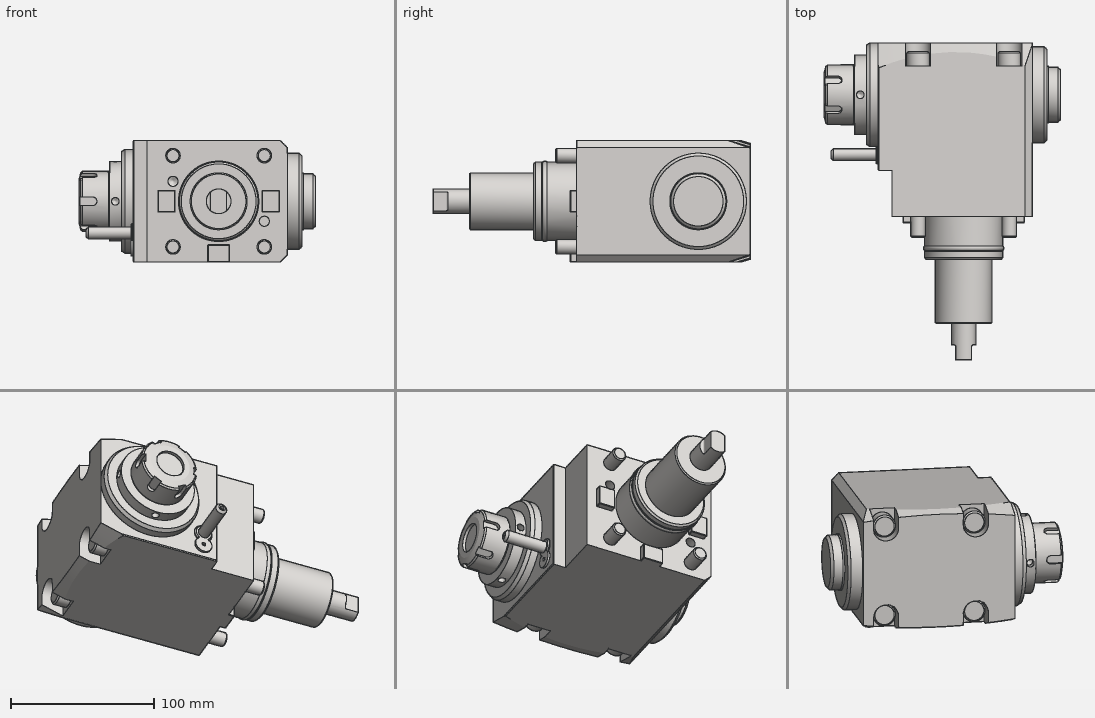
import cadquery as cq
import math

EPS = 1.0

back_y = 121.4
block_left = -59.8
block_right = 48.0
step_left = -50.0
step_y = 32.1
half_height = 42.5
corner_chamfer = 5.0
left_edge_chamfer = 0.7
crown_slope = 0.3
crown_radius = 432.0
crown_reach = 26.5
crown_height = 40.5

spindle_y = 85.0
flange_left = -68.0
flange_radius = back_y - spindle_y
flange_chamfer_length = 2.7
flange_chamfer_depth = 1.5
collar_left = -76.2
collar_radius = 28.0
collar_hole_x = -72.2
collar_hole_radius = 2.7
collar_hole_depth = 5.5
collar_hole_count = 4
neck_radius = 20.0
rear_disk_right = 58.3
rear_disk_radius = 33.7
rear_ring_right = 59.4
rear_ring_radius = 20.0
rear_boss_right = 67.8
rear_boss_radius = 19.3
rear_chamfer = 2.0

nut_left = -97.7
nut_right = -77.0
nut_radius = 21.0
nut_face_radius = 14.8
nut_cone_length = 1.3
nut_edge_chamfer = 1.0
nut_bore_radius = 10.5
nut_bore_depth = 2.2
nut_slot_count = 6
nut_slot_width = 6.0
nut_slot_depth = 2.7
nut_slot_length = 12.6

pilot_radius = 27.5
pilot_length = 30.1
pilot_chamfer = 1.3
oring_start = 20.5
oring_width = 3.0
oring_rise = 0.7
groove_width = 0.7
shank_radius = 20.0
shank_end = 74.9
shank_chamfer = 0.9
drive_radius = 8.6
drive_end = 100.1
flat_start = 89.7
flat_half_width = 5.5
flat_root_fillet = 1.3

screw_pitch = 32.0
screw_radius = 5.0
screw_length = 14.6
screw_chamfer = 0.9
head_radius = 8.0
head_height = 10.0
head_chamfer = 1.0
pocket_radius = 8.9
pocket_depth = 16.2

key_inner = 30.3
key_width = 15.3
key_height = 4.5
key_chamfer = 0.5
hole_x = 32.0
hole_z = 14.0
hole_radius = 3.5
hole_depth = 8.9
drill_half_angle = math.radians(59)

pin_y = 43.2
pin_z = -22.2
pin_left = -92.8
pin_radius = 4.2
pin_chamfer = 1.8
pin_bore_radius = 1.3
pin_bore_depth = 3.3
pin_base_radius = 6.6
pin_base_chamfer = 0.9
base_height = 1.5
plug_z = -32.1
plug_radius = 6.2
plug_hole_radius = 1.3


def x_axis_disk(radius, x_start, x_end, y=spindle_y, z=0.0):
    """Cylinder along X between two X positions."""
    return cq.Workplane("YZ", origin=(x_start, y, z)).circle(radius).extrude(x_end - x_start)


def y_axis_disk(radius, y_start, y_end, x=0.0, z=0.0):
    """Cylinder along Y between two Y positions, y_start being the greater."""
    return cq.Workplane("XZ", origin=(x, y_start, z)).circle(radius).extrude(y_start - y_end)


def drilled_hole(radius, depth, origin):
    """Tool for a drilled hole with a conical bottom, starting at origin and going to +Y."""
    tip_depth = depth + radius / math.tan(drill_half_angle)
    profile = [(0, -EPS), (radius, -EPS), (radius, depth), (0, tip_depth)]
    tool = cq.Workplane("XY").polyline(profile).close().revolve(360, (0, 0), (0, 1))
    return tool.translate(origin)


def make_crown_cut(side):
    """Ring that trims the top (side=1) or bottom (side=-1) back edge to a shallow cone."""
    mid_x = (block_left + block_right) / 2
    axis_z = side * (crown_height - crown_radius)
    outer = crown_radius + crown_reach * crown_slope
    return (
        cq.Workplane("XY", origin=(mid_x, 0, axis_z))
        .polyline([
            (crown_radius - EPS * crown_slope, back_y + EPS),
            (outer, back_y + EPS),
            (outer, back_y - crown_reach),
        ])
        .close()
        .revolve(360, (0, 0), (0, 1))
    )


def make_block():
    """Stepped block with trimmed corners, crowned back edges and screw head pockets."""
    depth = 2 * half_height
    front_part = (
        cq.Workplane("XY", origin=(step_left, 0, -half_height))
        .rect(block_right - step_left, back_y, centered=False)
        .extrude(depth)
        .edges("|Y and >X")
        .chamfer(corner_chamfer)
    )
    left_part = (
        cq.Workplane("XY", origin=(block_left, step_y, -half_height))
        .rect(step_left - block_left, back_y - step_y, centered=False)
        .extrude(depth)
        .faces("<X")
        .edges("|Y or <Y")
        .chamfer(left_edge_chamfer)
    )
    block = front_part.union(left_part)
    for side in (1, -1):
        block = block.cut(make_crown_cut(side))
        for screw_x in (-screw_pitch, screw_pitch):
            block = block.cut(make_pocket(screw_x, side))
    return block


def make_pocket(screw_x, side):
    """Round-bottomed pocket for a screw head, open to the back and to the top or bottom."""
    wall_height = half_height - screw_pitch + EPS
    round_part = y_axis_disk(pocket_radius, back_y + EPS, back_y - pocket_depth, screw_x, side * screw_pitch)
    open_part = cq.Workplane("XY").box(2 * pocket_radius, pocket_depth + EPS, wall_height).translate((
        screw_x,
        back_y + (EPS - pocket_depth) / 2,
        side * (screw_pitch + wall_height / 2),
    ))
    return round_part.union(open_part)


def make_screw(screw_x, screw_z):
    """Screw end in front of the mounting face and screw head in its pocket."""
    end = y_axis_disk(screw_radius, EPS, -screw_length, screw_x, screw_z)
    end = end.faces("<Y").chamfer(screw_chamfer)
    floor_y = back_y - pocket_depth
    head = y_axis_disk(head_radius, floor_y + head_height, floor_y - EPS, screw_x, screw_z)
    head = head.faces(">Y").chamfer(head_chamfer)
    return end.union(head)


def make_spindle_housing():
    """Flange, collar and neck on the left, bearing cover and boss on the right."""
    flange = x_axis_disk(flange_radius, flange_left, block_left + EPS)
    flange = flange.faces("<X").chamfer(flange_chamfer_length, flange_chamfer_depth)
    collar = x_axis_disk(collar_radius, collar_left, flange_left + EPS)
    neck = x_axis_disk(neck_radius, nut_right, collar_left + EPS)
    hole_start = (collar_hole_x, spindle_y - collar_radius, 0)
    for i in range(collar_hole_count):
        hole = drilled_hole(collar_hole_radius, collar_hole_depth, hole_start)
        angle = 360 / collar_hole_count * i
        collar = collar.cut(hole.rotate((0, spindle_y, 0), (1, spindle_y, 0), angle))
    cover = x_axis_disk(rear_disk_radius, block_right - EPS, rear_disk_right)
    cover = cover.faces(">X").chamfer(rear_chamfer)
    ring = x_axis_disk(rear_ring_radius, rear_disk_right - EPS, rear_ring_right)
    boss = x_axis_disk(rear_boss_radius, rear_ring_right - EPS, rear_boss_right)
    boss = boss.faces(">X").chamfer(rear_chamfer)
    return flange.union(collar).union(neck).union(cover).union(ring).union(boss)


def make_drive_flat(side):
    """Tool for the flat on the +X (side=1) or -X (side=-1) side of the drive end, rounded at its root."""
    flat_x = side * flat_half_width
    fillet_x = flat_x + side * flat_root_fillet
    outer_x = side * (drive_radius + EPS)
    fillet_end = -flat_start - flat_root_fillet
    arc_offset = flat_root_fillet * (1 - math.sqrt(0.5))
    return (
        cq.Workplane("XY", origin=(0, 0, -drive_radius))
        .moveTo(outer_x, -flat_start)
        .lineTo(fillet_x, -flat_start)
        .threePointArc((flat_x + side * arc_offset, -flat_start - arc_offset), (flat_x, fillet_end))
        .lineTo(flat_x, -drive_end - EPS)
        .lineTo(outer_x, -drive_end - EPS)
        .close()
        .extrude(2 * drive_radius)
    )


def make_shank():
    """Pilot with its O-ring, shank and flatted drive end, all turned about Y."""
    pilot = y_axis_disk(pilot_radius, EPS, -pilot_length).faces("<Y").chamfer(pilot_chamfer)
    oring_end = oring_start + oring_width
    groove = y_axis_disk(pilot_radius + EPS, -oring_end, -oring_end - groove_width).cut(
        y_axis_disk(pilot_radius - oring_rise, -oring_end, -oring_end - groove_width))
    oring_crest = (pilot_radius + oring_rise, -oring_start - oring_width / 2)
    oring = (
        cq.Workplane("XY")
        .moveTo(0, -oring_start)
        .lineTo(pilot_radius, -oring_start)
        .threePointArc(oring_crest, (pilot_radius, -oring_end))
        .lineTo(0, -oring_end)
        .close()
        .revolve(360, (0, 0), (0, 1))
    )
    shank = y_axis_disk(shank_radius, -pilot_length + EPS, -shank_end).faces("<Y").chamfer(shank_chamfer)
    drive = y_axis_disk(drive_radius, -shank_end + EPS, -drive_end)
    for side in (1, -1):
        drive = drive.cut(make_drive_flat(side))
    return pilot.cut(groove).union(oring).union(shank).union(drive)


def make_key(angle):
    """Rectangular key on the mounting face, turned about the shank axis from the +X place."""
    key_length = half_height - key_inner
    key = (
        cq.Workplane("XY")
        .box(key_length, key_height + EPS, key_width)
        .edges("|Y or <Y")
        .chamfer(key_chamfer)
        .translate((key_inner + key_length / 2, (EPS - key_height) / 2, 0))
    )
    return key.rotate((0, 0, 0), (0, 1, 0), angle)


def make_coolant_pin():
    """Pin with a blind bore on a round base, next to a flat plug."""
    base_left = block_left - base_height
    base = x_axis_disk(pin_base_radius, base_left, block_left + EPS, pin_y, pin_z)
    base = base.faces("<X").chamfer(pin_base_chamfer)
    pin = x_axis_disk(pin_radius, pin_left, base_left + EPS, pin_y, pin_z)
    pin = pin.faces("<X").chamfer(pin_chamfer)
    pin = pin.cut(x_axis_disk(pin_bore_radius, pin_left, pin_left + pin_bore_depth, pin_y, pin_z))
    plug = x_axis_disk(plug_radius, base_left, block_left + EPS, pin_y, plug_z)
    plug = plug.cut(x_axis_disk(plug_hole_radius, base_left, block_left, pin_y, plug_z))
    return base.union(plug).union(pin)


def make_housing():
    """Complete housing with everything that is fixed to it."""
    housing = make_block()
    for screw_x in (-screw_pitch, screw_pitch):
        for screw_z in (-screw_pitch, screw_pitch):
            housing = housing.union(make_screw(screw_x, screw_z))
    housing = housing.union(make_spindle_housing()).union(make_shank())
    for angle in (0, 90, 180):
        housing = housing.union(make_key(angle))
    housing = housing.union(make_coolant_pin())
    housing = housing.cut(drilled_hole(hole_radius, hole_depth, (-hole_x, 0, hole_z)))
    return housing.cut(y_axis_disk(hole_radius, hole_depth, -EPS, hole_x, -hole_z))


def make_nut_slot(angle):
    """Tool for one round-ended wrench slot in the nut rim."""
    straight_end = nut_left + nut_slot_length - nut_slot_width / 2
    outline = (
        cq.Workplane("XY", origin=(0, spindle_y, nut_radius - nut_slot_depth))
        .moveTo(nut_left - EPS, -nut_slot_width / 2)
        .lineTo(straight_end, -nut_slot_width / 2)
        .threePointArc((nut_left + nut_slot_length, 0), (straight_end, nut_slot_width / 2))
        .lineTo(nut_left - EPS, nut_slot_width / 2)
        .close()
    )
    return outline.extrude(nut_slot_depth + EPS).rotate((0, spindle_y, 0), (1, spindle_y, 0), angle)


def make_collet_nut():
    """Collet nut with a conical front, a shallow bore and wrench slots around the rim."""
    cone_end = nut_left + nut_cone_length
    bore_floor = nut_left + nut_bore_depth
    nut = (
        cq.Workplane("XY", origin=(0, spindle_y, 0))
        .polyline([
            (bore_floor, 0),
            (bore_floor, nut_bore_radius),
            (nut_left, nut_bore_radius),
            (nut_left, nut_face_radius),
            (cone_end, nut_radius - nut_edge_chamfer),
            (cone_end + nut_edge_chamfer, nut_radius),
            (nut_right, nut_radius),
            (nut_right, 0),
        ])
        .close()
        .revolve(360, (0, 0), (1, 0))
    )
    for i in range(nut_slot_count):
        nut = nut.cut(make_nut_slot(90 + 360 / nut_slot_count * i))
    return nut


housing = make_housing()
collet_nut = make_collet_nut()
result = cq.Compound.makeCompound([housing.val(), collet_nut.val()])